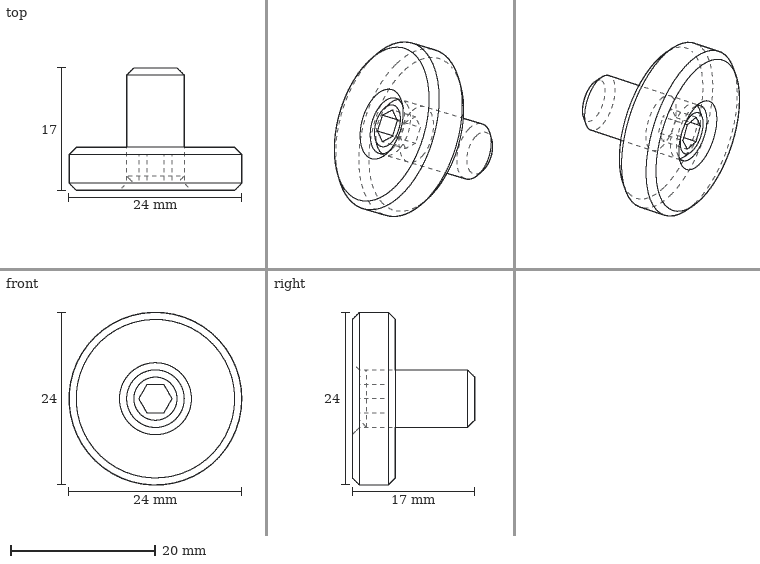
import cadquery as cq
import math

disc_diameter = 24.0
disc_thickness = 6.0
edge_chamfer = 1.0

screw_diameter = 8.0
screw_overhang = 11.0
screw_recess = 1.0
screw_length = disc_thickness + screw_overhang - screw_recess

socket_sides = 6
socket_across_flats = 4.0
socket_across_corners = socket_across_flats / math.cos(math.pi / socket_sides)
socket_depth = 4.0


def cylinder_along_y(diameter, start, length):
    """Round bar on the Y axis, from Y = start towards +Y."""
    plane = cq.Workplane("XZ", origin=(0, start, 0))
    return plane.circle(diameter / 2).extrude(-length)


def make_disc():
    """Disc with a through bore, chamfered on both rims and at the bore's front mouth."""
    blank = cylinder_along_y(disc_diameter, 0, disc_thickness).edges().chamfer(edge_chamfer)
    bore = cylinder_along_y(screw_diameter, 0, disc_thickness)
    drilled = blank.cut(bore)
    mouth = drilled.faces("<Y").edges("%CIRCLE").edges(cq.selectors.RadiusNthSelector(0))
    return mouth.chamfer(edge_chamfer)


def make_screw():
    """Pin chamfered at both ends, with the blind hexagon socket in its front end."""
    bar = cylinder_along_y(screw_diameter, screw_recess, screw_length)
    pin = bar.faces("<Y or >Y").edges().chamfer(edge_chamfer)
    socket = (
        cq.Workplane("XZ", origin=(0, screw_recess, 0))
        .polygon(socket_sides, socket_across_corners)
        .extrude(-socket_depth)
    )
    return pin.cut(socket)


disc = make_disc()
screw = make_screw()
result = cq.Compound.makeCompound([disc.val(), screw.val()])